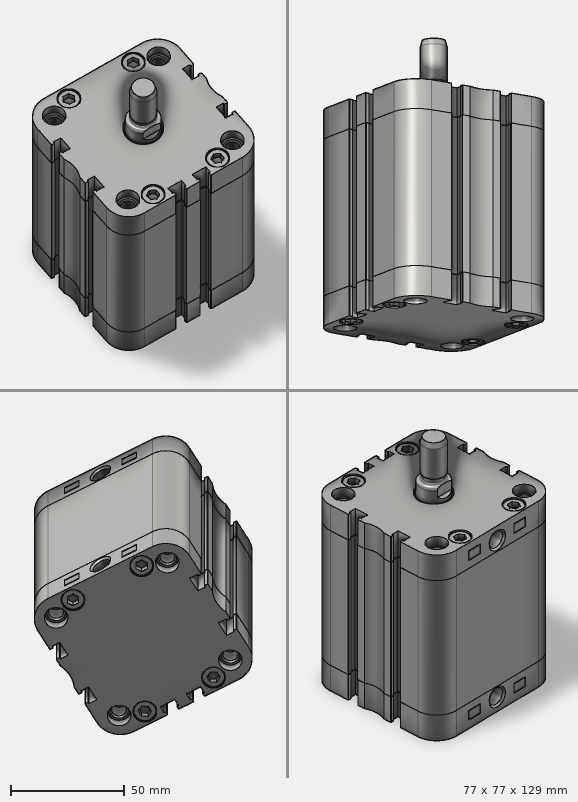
import cadquery as cq
import math

TOTAL_HEIGHT = 129
BODY_WIDTH = 77.0
BODY_HEIGHT = 99.1
CAP_HEIGHT = 13.7
CORNER_RADIUS = 12.0
BORE_DIAMETER = 63.0

HALF_WIDTH = BODY_WIDTH / 2
TUBE_HEIGHT = BODY_HEIGHT - 2 * CAP_HEIGHT
TOP_CAP_BASE = BODY_HEIGHT - CAP_HEIGHT

FRONT_SLOT_OFFSET = 12.9
SIDE_SLOT_OFFSET = 6.6
LIP_DEPTH = 1.7
LIP_CHAMFER = 0.3
SIDE_SLOT_RISE = 0.5
TUBE_SLOT = {"mouth": 5.3, "pocket": 6.8, "depth": 5.0}
CAP_SLOT = {"mouth": 5.5, "pocket": 7.2, "depth": 5.5}
GROOVE_WIDTH = 12.0
GROOVE_DEPTH = 1.3

MOUNT_OFFSET = 28.3
MOUNT_COUNTERBORE_DIAMETER = 10.3
MOUNT_COUNTERBORE_DEPTH = 5.0
MOUNT_HOLE_DIAMETER = 6.7
MOUNT_CHAMFER = 0.8

SCREW_OFFSET_X = 32.2
SCREW_OFFSET_Y = 17.4
SCREW_SEAT_DIAMETER = 10.5
SCREW_HEAD_DIAMETER = 9.8
SCREW_SEAT_DEPTH = 0.5
SCREW_RING_DEPTH = 0.5
SOCKET_ACROSS_FLATS = 5.0
SOCKET_DEPTH = 3.0

PORT_DIAMETER = 8.5
PORT_MOUTH_DIAMETER = 10.5
PORT_DEPTH = 8.0
PORT_EDGE_DISTANCE = 7.7
AIR_HOLE_DIAMETER = 4.0
AIR_HOLE_DEPTH = 8.0
AIR_HOLE_SHIFT = 0.6

PLATE_WIDTH = 7.4
PLATE_HEIGHT = 4.9
PLATE_DEPTH = 0.3
PLATE_OFFSET = 14.6
PLATE_EDGE_DISTANCE = 7.0

ROD_HOLE_DIAMETER = 16.5
SEAL_RECESS_DIAMETER = 17.7
SEAL_RECESS_DEPTH = 0.5
SEAL_MOUTH_DIAMETER = 18

ROD_DIAMETER = 16.0
THREAD_DIAMETER = 12.0
THREAD_LENGTH = 19.0
TIP_DIAMETER = 10.5
TIP_CHAMFER_HEIGHT = 2.8
NECK_DIAMETER = 10.3
NECK_FILLET = 0.5
SHOULDER_HEIGHT = 107.1
SHOULDER_FILLET = 1.8
FLATS_WIDTH = 13.0
FLATS_BASE_HEIGHT = 101.5
FLATS_RAMP_HEIGHT = 1.3


def slot_cutter(slot, offset, height, rise=0):
    """T-slot with a chamfered mouth that opens at the +X side, at Y = offset."""
    mouth = slot["mouth"] / 2
    pocket = slot["pocket"] / 2
    floor_x = HALF_WIDTH - slot["depth"] + rise
    lip_x = HALF_WIDTH - LIP_DEPTH
    half_outline = [
        (floor_x, pocket),
        (lip_x, pocket),
        (lip_x, mouth),
        (HALF_WIDTH - LIP_CHAMFER, mouth),
        (HALF_WIDTH, mouth + LIP_CHAMFER),
    ]
    mirrored_half = [(x, -y) for x, y in reversed(half_outline)]
    cutter = cq.Workplane("XY").polyline(half_outline + mirrored_half).close().extrude(height)
    return cutter.translate((0, offset, 0))


def groove_cutter(height):
    """Shallow round groove down the middle of the +X side."""
    groove_radius = (GROOVE_WIDTH**2 / 4 + GROOVE_DEPTH**2) / (2 * GROOVE_DEPTH)
    axis_x = HALF_WIDTH - GROOVE_DEPTH + groove_radius
    return cq.Workplane("XY").center(axis_x, 0).circle(groove_radius).extrude(height)


def profile_body(slot, height):
    """Rounded square block with slots on the -Y, +X and +Y sides and grooves on -Y and +Y."""
    body = cq.Workplane("XY").rect(BODY_WIDTH, BODY_WIDTH).extrude(height)
    body = body.edges("|Z").fillet(CORNER_RADIUS)
    for side in (-1, 1):
        body = body.cut(slot_cutter(slot, side * SIDE_SLOT_OFFSET, height, SIDE_SLOT_RISE))
        turn = 90 * side
        for offset in (-FRONT_SLOT_OFFSET, FRONT_SLOT_OFFSET):
            front_slot = slot_cutter(slot, offset, height)
            body = body.cut(front_slot.rotate((0, 0, 0), (0, 0, 1), turn))
        body = body.cut(groove_cutter(height).rotate((0, 0, 0), (0, 0, 1), turn))
    return body


def cut_mount_holes(cap):
    """Mounting holes through the cap, counterbored from its outer face."""
    hole_radius = MOUNT_HOLE_DIAMETER / 2
    floor_z = CAP_HEIGHT - MOUNT_COUNTERBORE_DEPTH
    outline = [
        (0, 0),
        (hole_radius, 0),
        (hole_radius, floor_z - MOUNT_CHAMFER),
        (hole_radius + MOUNT_CHAMFER, floor_z),
        (MOUNT_COUNTERBORE_DIAMETER / 2, floor_z),
        (MOUNT_COUNTERBORE_DIAMETER / 2, CAP_HEIGHT),
        (0, CAP_HEIGHT),
    ]
    cutter = cq.Workplane("XZ").polyline(outline).close().revolve(360, (0, 0), (0, 1))
    for x in (-MOUNT_OFFSET, MOUNT_OFFSET):
        for y in (-MOUNT_OFFSET, MOUNT_OFFSET):
            cap = cap.cut(cutter.translate((x, y, 0)))
    return cap


def cut_screw_heads(cap):
    """Socket-screw heads just below the outer face, each in a seat with a narrow gap around it."""
    across_corners = SOCKET_ACROSS_FLATS / math.cos(math.radians(30))
    head_top = CAP_HEIGHT - SCREW_SEAT_DEPTH
    head_plane = cq.Workplane("XY").workplane(offset=head_top)
    seat_radius = SCREW_SEAT_DIAMETER / 2
    seat = head_plane.circle(seat_radius).extrude(SCREW_SEAT_DEPTH)
    ring = head_plane.circle(seat_radius).circle(SCREW_HEAD_DIAMETER / 2).extrude(-SCREW_RING_DEPTH)
    socket = head_plane.polygon(6, across_corners).extrude(-SOCKET_DEPTH)
    for x, socket_turn in ((-SCREW_OFFSET_X, 30), (SCREW_OFFSET_X, 0)):
        turned_socket = socket.rotate((0, 0, 0), (0, 0, 1), socket_turn)
        for y in (-SCREW_OFFSET_Y, SCREW_OFFSET_Y):
            for cutter in (seat, ring, turned_socket):
                cap = cap.cut(cutter.translate((x, y, 0)))
    return cap


def cut_port(cap):
    """Chamfered blind air port in the -X side."""
    chamfer = (PORT_MOUTH_DIAMETER - PORT_DIAMETER) / 2
    outline = [
        (-HALF_WIDTH, 0),
        (-HALF_WIDTH, PORT_MOUTH_DIAMETER / 2),
        (-HALF_WIDTH + chamfer, PORT_DIAMETER / 2),
        (-HALF_WIDTH + PORT_DEPTH, PORT_DIAMETER / 2),
        (-HALF_WIDTH + PORT_DEPTH, 0),
    ]
    cutter = cq.Workplane("XZ").polyline(outline).close().revolve(360, (0, 0), (1, 0))
    return cap.cut(cutter.translate((0, 0, CAP_HEIGHT - PORT_EDGE_DISTANCE)))


def cut_label_plates(cap):
    """Shallow rectangular recesses on both sides of the port."""
    for y in (-PLATE_OFFSET, PLATE_OFFSET):
        plate = cq.Workplane("XY").box(2 * PLATE_DEPTH, PLATE_WIDTH, PLATE_HEIGHT)
        cap = cap.cut(plate.translate((-HALF_WIDTH, y, CAP_HEIGHT - PLATE_EDGE_DISTANCE)))
    return cap


def make_cap():
    """Cap with the features shared by both ends; inner face at Z = 0, outer face up."""
    cap = profile_body(CAP_SLOT, CAP_HEIGHT)
    cap = cut_mount_holes(cap)
    cap = cut_screw_heads(cap)
    cap = cut_port(cap)
    return cut_label_plates(cap)


def make_top_cap():
    """Rod-side cap, with the rod hole and the seal recess around it."""
    hole_radius = ROD_HOLE_DIAMETER / 2
    recess_radius = SEAL_RECESS_DIAMETER / 2
    mouth_radius = SEAL_MOUTH_DIAMETER / 2
    recess_floor = CAP_HEIGHT - SEAL_RECESS_DEPTH
    outline = [
        (0, 0),
        (hole_radius, 0),
        (hole_radius, recess_floor),
        (recess_radius, recess_floor),
        (recess_radius, CAP_HEIGHT - (mouth_radius - recess_radius)),
        (mouth_radius, CAP_HEIGHT),
        (0, CAP_HEIGHT),
    ]
    rod_hole = cq.Workplane("XZ").polyline(outline).close().revolve(360, (0, 0), (0, 1))
    cap = make_cap().cut(rod_hole)
    return cap.translate((0, 0, TOP_CAP_BASE))


def make_bottom_cap():
    """Mirrored cap at the closed end, with a narrower air hole in its port floor."""
    cap = make_cap().mirror("XY").translate((0, 0, CAP_HEIGHT))
    floor_x = -HALF_WIDTH + PORT_DEPTH
    air_hole = cq.Workplane("YZ").circle(AIR_HOLE_DIAMETER / 2).extrude(AIR_HOLE_DEPTH)
    return cap.cut(air_hole.translate((floor_x, 0, PORT_EDGE_DISTANCE + AIR_HOLE_SHIFT)))


def make_tube():
    """Bored profile tube between the caps."""
    tube = profile_body(TUBE_SLOT, TUBE_HEIGHT)
    tube = tube.faces(">Z").workplane(origin=(0, 0, 0)).hole(BORE_DIAMETER)
    return tube.translate((0, 0, CAP_HEIGHT))


def make_rod():
    """Piston rod standing on the bottom cap, with wrench flats and a threaded end."""
    neck_top = TOTAL_HEIGHT - THREAD_LENGTH
    rod = cq.Workplane("XY").workplane(offset=CAP_HEIGHT).circle(ROD_DIAMETER / 2)
    rod = rod.extrude(SHOULDER_HEIGHT - CAP_HEIGHT).faces(">Z").edges().fillet(SHOULDER_FILLET)

    neck_radius = NECK_DIAMETER / 2
    thread_radius = THREAD_DIAMETER / 2
    fillet_bulge = NECK_FILLET * (1 - math.sqrt(0.5))
    end_outline = (
        cq.Workplane("XZ")
        .moveTo(0, SHOULDER_HEIGHT)
        .lineTo(neck_radius + NECK_FILLET, SHOULDER_HEIGHT)
        .threePointArc(
            (neck_radius + fillet_bulge, SHOULDER_HEIGHT + fillet_bulge),
            (neck_radius, SHOULDER_HEIGHT + NECK_FILLET),
        )
        .lineTo(neck_radius, neck_top - NECK_FILLET)
        .threePointArc(
            (neck_radius + fillet_bulge, neck_top - fillet_bulge),
            (neck_radius + NECK_FILLET, neck_top),
        )
        .lineTo(thread_radius, neck_top)
        .lineTo(thread_radius, TOTAL_HEIGHT - TIP_CHAMFER_HEIGHT)
        .lineTo(TIP_DIAMETER / 2, TOTAL_HEIGHT)
        .lineTo(0, TOTAL_HEIGHT)
        .close()
    )
    rod = rod.union(end_outline.revolve(360, (0, 0), (0, 1)))

    flat_x = FLATS_WIDTH / 2
    rod_radius = ROD_DIAMETER / 2
    flat_outline = [
        (flat_x, SHOULDER_HEIGHT),
        (flat_x, FLATS_BASE_HEIGHT),
        (rod_radius, FLATS_BASE_HEIGHT - FLATS_RAMP_HEIGHT),
        (rod_radius, SHOULDER_HEIGHT),
    ]
    flat = cq.Workplane("XZ").polyline(flat_outline).close().extrude(rod_radius, both=True)
    return rod.cut(flat).cut(flat.mirror("YZ"))


bottom_cap = make_bottom_cap()
tube = make_tube()
top_cap = make_top_cap()
rod = make_rod()

result = cq.Compound.makeCompound([bottom_cap.val(), tube.val(), top_cap.val(), rod.val()])